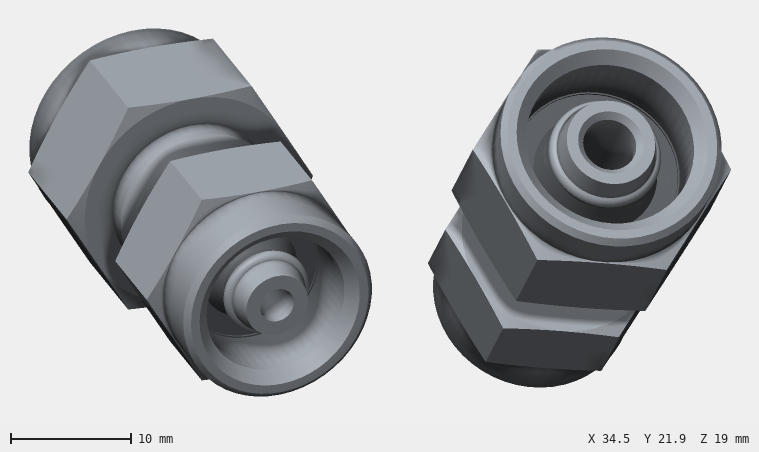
import cadquery as cq
import math

TOTAL_LENGTH = 34.5
CLEARANCE = 0.13
MOUTH_DEPTH = 7.0
THREAD_FACE = 7.2
NOSE_RECESS = 0.6
HEX_CHAMFER_ANGLE = 15
COLLAR_CHAMFER = 0.5
MOUTH_BEVEL = 1.0

LARGE_FLATS = 19.0
LARGE_COLLAR_RADIUS = 9.4
LARGE_COLLAR_LENGTH = 4.0
LARGE_HEX_LENGTH = 9.8
LARGE_THREAD_RADIUS = 7.0
LARGE_NOSE_TIP_RADIUS = 3.75
LARGE_BORE_RADIUS = 2.25

SMALL_FLATS = 17.0
SMALL_COLLAR_RADIUS = 8.4
SMALL_COLLAR_LENGTH = 5.0
SMALL_HEX_LENGTH = 8.1
SMALL_THREAD_RADIUS = 6.0
SMALL_NOSE_TIP_RADIUS = 2.75

TIP_CONE_LENGTH = 1.95
TIP_CONE_RISE = 0.45
LIP_HEIGHT = 0.57
LIP_LENGTH = 0.7
FLARE_LENGTH = 2.5
FLARE_RISE = 1.05

SHOULDER_END = 15.65
THROUGH_RADIUS = 1.5
BORE_DEPTH = 12.0
BORE_CHAMFER = 0.53
DRILL_POINT_ANGLE = 118


def hex_prism(flats, start, length):
    """Hexagon along X with flats facing up and down and conical chamfers on both ends."""
    corner_radius = flats / math.sqrt(3)
    flat_radius = flats / 2
    chamfer = (corner_radius - flat_radius) * math.tan(math.radians(HEX_CHAMFER_ANGLE))
    prism = cq.Workplane("YZ", origin=(start, 0, 0)).polygon(6, 2 * corner_radius).extrude(length)
    envelope = (
        cq.Workplane("XY")
        .moveTo(start, 0)
        .lineTo(start, flat_radius)
        .lineTo(start + chamfer, corner_radius)
        .lineTo(start + length - chamfer, corner_radius)
        .lineTo(start + length, flat_radius)
        .lineTo(start + length, 0)
        .close()
        .revolve(360, (0, 0, 0), (1, 0, 0))
    )
    return prism.intersect(envelope)


def union_nut(flats, collar_radius, collar_length, hex_length, thread_radius):
    """Nut whose open end lies at X = 0 and whose hex points toward +X."""
    length = collar_length + hex_length
    collar = (
        cq.Workplane("YZ")
        .circle(collar_radius)
        .extrude(length / 2)
        .faces("<X")
        .chamfer(COLLAR_CHAMFER)
    )
    mouth_radius = thread_radius + CLEARANCE
    hole = (
        cq.Workplane("XY")
        .lineTo(0, mouth_radius + MOUTH_BEVEL)
        .lineTo(MOUTH_BEVEL, mouth_radius)
        .lineTo(MOUTH_DEPTH, mouth_radius)
        .lineTo(MOUTH_DEPTH, thread_radius)
        .lineTo(length, thread_radius)
        .lineTo(length, 0)
        .close()
        .revolve(360, (0, 0, 0), (1, 0, 0))
    )
    return hex_prism(flats, collar_length, hex_length).union(collar).cut(hole)


def threaded_end(tip_radius, thread_radius, thread_end):
    """Body end facing -X: tapered nose, rounded lip, neck, flare, then the thread up to thread_end."""
    cone_end = NOSE_RECESS + TIP_CONE_LENGTH
    neck_radius = tip_radius + TIP_CONE_RISE
    lip_end = cone_end + LIP_LENGTH
    lip_outer = neck_radius + LIP_HEIGHT

    arc_radius = (LIP_LENGTH**2 + LIP_HEIGHT**2) / (2 * LIP_HEIGHT)
    half_sweep = math.asin(LIP_LENGTH / arc_radius) / 2
    arc_middle = (
        lip_end - arc_radius * math.sin(half_sweep),
        lip_outer - arc_radius * (1 - math.cos(half_sweep)),
    )
    return (
        cq.Workplane("XY")
        .moveTo(NOSE_RECESS, 0)
        .lineTo(NOSE_RECESS, tip_radius)
        .lineTo(cone_end, neck_radius)
        .threePointArc(arc_middle, (lip_end, lip_outer))
        .lineTo(lip_end, neck_radius)
        .lineTo(THREAD_FACE - FLARE_LENGTH, neck_radius)
        .lineTo(THREAD_FACE, neck_radius + FLARE_RISE)
        .lineTo(THREAD_FACE, thread_radius)
        .lineTo(thread_end, thread_radius)
        .lineTo(thread_end, 0)
        .close()
        .revolve(360, (0, 0, 0), (1, 0, 0))
    )


def at_small_end(part):
    """Turn a part made for the X = 0 end around so that it faces +X at the other end."""
    return part.rotate((0, 0, 0), (0, 0, 1), 180).translate((TOTAL_LENGTH, 0, 0))


def stepped_bore():
    """Chamfered bore from the large nose, closing on a drill point to the through hole."""
    bore_end = NOSE_RECESS + BORE_DEPTH
    radius_step = LARGE_BORE_RADIUS - THROUGH_RADIUS
    point_length = radius_step / math.tan(math.radians(DRILL_POINT_ANGLE / 2))
    return (
        cq.Workplane("XY")
        .moveTo(NOSE_RECESS, 0)
        .lineTo(NOSE_RECESS, LARGE_BORE_RADIUS + BORE_CHAMFER)
        .lineTo(NOSE_RECESS + BORE_CHAMFER, LARGE_BORE_RADIUS)
        .lineTo(bore_end, LARGE_BORE_RADIUS)
        .lineTo(bore_end + point_length, THROUGH_RADIUS)
        .lineTo(TOTAL_LENGTH, THROUGH_RADIUS)
        .lineTo(TOTAL_LENGTH, 0)
        .close()
        .revolve(360, (0, 0, 0), (1, 0, 0))
    )


def coupling_body():
    """Body with the large threaded end, a conical shoulder and the small threaded end."""
    shoulder_cone = LARGE_THREAD_RADIUS - SMALL_THREAD_RADIUS
    large_end = threaded_end(LARGE_NOSE_TIP_RADIUS, LARGE_THREAD_RADIUS, SHOULDER_END + shoulder_cone)
    large_end = large_end.faces(">X").chamfer(shoulder_cone)
    small_end = threaded_end(SMALL_NOSE_TIP_RADIUS, SMALL_THREAD_RADIUS, TOTAL_LENGTH - SHOULDER_END)
    return large_end.union(at_small_end(small_end)).cut(stepped_bore())


large_nut = union_nut(
    LARGE_FLATS, LARGE_COLLAR_RADIUS, LARGE_COLLAR_LENGTH,
    LARGE_HEX_LENGTH, LARGE_THREAD_RADIUS,
)
small_nut = at_small_end(union_nut(
    SMALL_FLATS, SMALL_COLLAR_RADIUS, SMALL_COLLAR_LENGTH,
    SMALL_HEX_LENGTH, SMALL_THREAD_RADIUS,
))
body = coupling_body()

result = cq.Compound.makeCompound([body.val(), large_nut.val(), small_nut.val()])